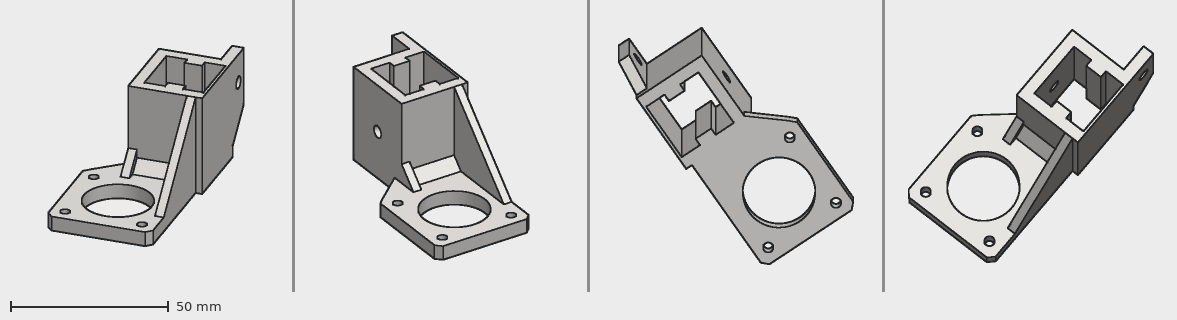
import cadquery as cq

length = 78.75
height = 34.0

plate_width = 35.5
plate_thickness = 5.05
corner_chamfer = 2.0
bore_diameter = 23.0
screw_diameter = 3.2
screw_spacing = 26.0
plate_center = plate_width / 2

wall = 4.0
thin_wall = 1.0
opening = 20.0
sleeve_right = 37.7
sleeve_left = sleeve_right - thin_wall - opening - wall
sleeve_depth = opening + 2 * wall
sleeve_back = 68.75
sleeve_front = sleeve_back - sleeve_depth
sleeve_center_x = sleeve_left + wall + opening / 2
sleeve_center_y = sleeve_front + sleeve_depth / 2
key_width = 6.0
key_depth = 2.5
plate_joint_y = sleeve_front + wall

bolt_diameter = 4.2
tab_bolt_y = (sleeve_back + length) / 2
tab_bolt_z = 24.0
tab_rise = length - sleeve_back
tab_low_z = wall

rib_thickness = 3.0
short_rib_reach = 6.9
fillet_wedge_reach = 4.0
tall_rib_reach = height - plate_thickness


def box(x0, x1, y0, y1, z0, z1):
    """Make a block from its limits along each axis."""
    return cq.Workplane("XY").box(x1 - x0, y1 - y0, z1 - z0, centered=False).translate((x0, y0, z0))


def side_profile(points, x0, x1):
    """Extrude a closed (y, z) outline from x0 to x1."""
    return cq.Workplane("YZ").workplane(offset=x0).polyline(points).close().extrude(x1 - x0)


def gusset(reach, x0, x1):
    """Make a 45-degree gusset between the plate and the sleeve front."""
    points = [
        (sleeve_front, plate_thickness),
        (sleeve_front - reach, plate_thickness),
        (sleeve_front, plate_thickness + reach),
    ]
    return side_profile(points, x0, x1)


def cross_hole(y, z):
    """Make a bolt-hole cutter along X, reaching through the sleeve's thick wall only."""
    return (
        cq.Workplane("YZ").workplane(offset=sleeve_left).center(y, z)
        .circle(bolt_diameter / 2).extrude(wall)
    )


def motor_plate():
    """Make the flat plate with its bore and three screw holes."""
    plate = (
        cq.Workplane("XY")
        .polyline([
            (corner_chamfer, 0),
            (plate_width - corner_chamfer, 0),
            (plate_width, corner_chamfer),
            (plate_width, plate_joint_y),
            (sleeve_left, plate_joint_y),
            (corner_chamfer, plate_width),
            (0, plate_width - corner_chamfer),
            (0, corner_chamfer),
        ])
        .close()
        .extrude(plate_thickness)
    )
    low = plate_center - screw_spacing / 2
    high = plate_center + screw_spacing / 2
    plate = plate.faces(">Z").workplane(origin=(0, 0, 0))
    plate = plate.pushPoints([(plate_center, plate_center)]).hole(bore_diameter)
    plate = plate.faces(">Z").workplane(origin=(0, 0, 0))
    return plate.pushPoints([(low, low), (high, low), (low, high)]).hole(screw_diameter)


def sleeve_cavity():
    """Make the through opening, less the two guide keys."""
    half = opening / 2
    half_key = key_width / 2
    cavity = box(sleeve_center_x - half, sleeve_center_x + half,
                 sleeve_center_y - half, sleeve_center_y + half, 0, height)
    for y0 in (sleeve_center_y - half, sleeve_center_y + half - key_depth):
        cavity = cavity.cut(box(sleeve_center_x - half_key, sleeve_center_x + half_key,
                                y0, y0 + key_depth, 0, height))
    return cavity


def rear_tab():
    """Make the tab behind the sleeve, with its sloping lower edge and bolt hole."""
    tab = side_profile([
        (sleeve_back, tab_low_z),
        (length, tab_low_z + tab_rise),
        (length, height),
        (sleeve_back, height),
    ], sleeve_right - wall, sleeve_right)
    hole = cross_hole(tab_bolt_y, tab_bolt_z).translate((sleeve_right - wall - sleeve_left, 0, 0))
    return tab.cut(hole)


body = motor_plate().union(box(sleeve_left, sleeve_right, sleeve_front, sleeve_back, 0, height))
body = body.union(gusset(tall_rib_reach, plate_width - rib_thickness, plate_width))
body = body.union(gusset(short_rib_reach, sleeve_left, sleeve_left + rib_thickness))
body = body.union(gusset(fillet_wedge_reach, sleeve_left, plate_width))
body = body.union(rear_tab())
body = body.cut(sleeve_cavity())
result = body.cut(cross_hole(sleeve_center_y, height / 2))